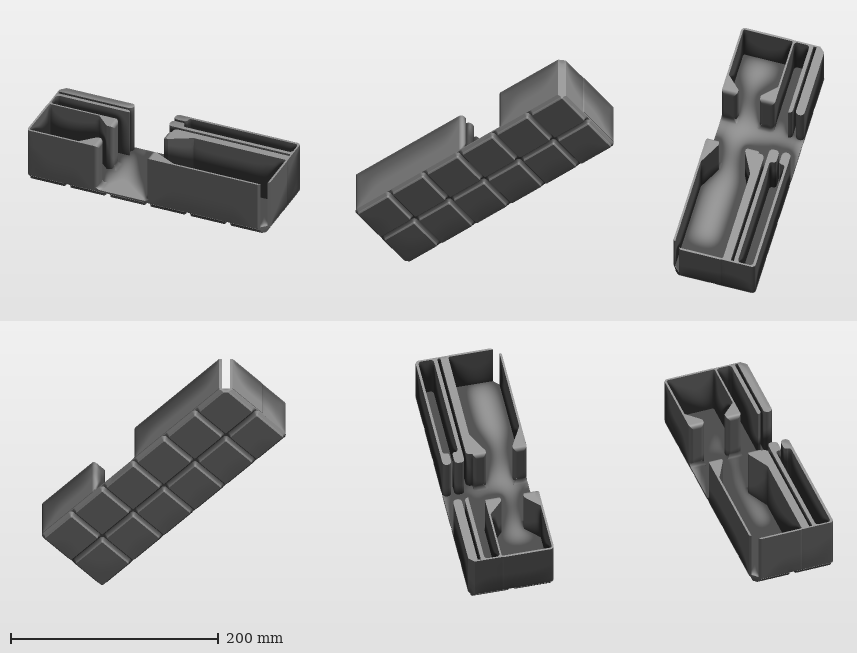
import cadquery as cq
import math

LENGTH = 252.0
COLUMNS = 6
FRONT_ROW, REAR_ROW = 0, 1
PITCH = LENGTH / COLUMNS
WIDTH = 2 * PITCH
HEIGHT = 56.2
FLOOR_Z = 6.8

LOWER_BEVEL = 0.8
UPRIGHT = 1.8
UPPER_BEVEL = 2.4
BEVEL_TAPER = -45
FOOT_HEIGHT = LOWER_BEVEL + UPRIGHT + UPPER_BEVEL
CORNER_RADIUS = 4.0

CLEARANCE = 0.38
PLATE_X = LENGTH / 2 - CLEARANCE
PLATE_Y = WIDTH / 2 - CLEARANCE

LEFT_END_X = -47.6
RIGHT_END_X = -4.5
LIP_RADIUS = 4.0
TIP_RADIUS = 4.0
COVE_SPREAD = 1.5
COVE_CORNER = 2.3

WALL = 2.0
INNER_X = LENGTH / 2 - WALL
BOX_BACK_Y = 11.0
POCKET_FRONT_Y = -WIDTH / 2 + WALL
POCKET_RIM_BACK_Y = 9.3
POCKET_FLOOR_BACK_Y = 8.5
POCKET_RADIUS = 1.5
LEFT_OPENING_FRONT_Y = -26.5
LEFT_OPENING_BACK_Y = -4.0
LEFT_TAPER_X = -72.0
LEFT_THROAT_X = -58.5
RIGHT_OPENING_FRONT_Y = -28.5
RIGHT_OPENING_BACK_Y = -2.0
RIGHT_TAPER_X = 27.2
RIGHT_THROAT_X = 5.0

SLOT_WIDTH = 3.0
SLOT_BACK_Y = 33.0
SLOT_FRONT_Y = SLOT_BACK_Y - SLOT_WIDTH
REAR_RADIUS = 3.3
LEDGE_RADIUS = 4.3
THIN_WALL_RADIUS = 3.5
LEFT_BAY_BACK_Y = 26.2
RIGHT_BAY_BACK_Y = 39.0
RIGHT_BAY_FRONT_Y = 24.0
RIGHT_BAY_X = 9.3
MOUTH_RADIUS = 2.8
RIGHT_SLOT_BACK_Y = 20.2
RIGHT_SLOT_FRONT_Y = RIGHT_SLOT_BACK_Y - SLOT_WIDTH

BACK_LEFT_CUT = 6.0
FRONT_RIGHT_CUT = 9.3


def block(x0, x1, y0, y1, z0, z1):
    """Axis-aligned box between two opposite corners."""
    return cq.Workplane("XY").box(x1 - x0, y1 - y0, z1 - z0, centered=False).translate((x0, y0, z0))


def wall_block(x0, x1, y0, y1):
    """Box that stands on the floor and reaches the rim."""
    return block(x0, x1, y0, y1, FLOOR_Z, HEIGHT)


def round_edges(body, radius, *places):
    """Round the upright edges that stand at the given (x, y) places."""
    reach = 0.03
    for x, y in places:
        corner = cq.selectors.BoxSelector((x - reach, y - reach, 0), (x + reach, y + reach, HEIGHT))
        body = body.edges("|Z").edges(corner).fillet(radius)
    return body


def corner_cut(x_side, y_side, leg):
    """Upright prism that cuts one corner of the grid outline at 45 degrees."""
    margin = 2.5
    x, y = x_side * (LENGTH / 2 + margin), y_side * (WIDTH / 2 + margin)
    full_leg = leg + 2 * margin
    outline = [(x, y), (x - x_side * full_leg, y), (x, y - y_side * full_leg)]
    return cq.Workplane("XY").polyline(outline).close().extrude(HEIGHT)


def foot(column, row):
    """One foot of the grid, widening upward in two bevels to the full pitch."""
    base_side = PITCH - 2 * (LOWER_BEVEL + UPPER_BEVEL)
    neck_side = PITCH - 2 * UPPER_BEVEL

    def stage(side, z, height, taper):
        radius = CORNER_RADIUS - (PITCH - side) / 2
        sketch = cq.Sketch().rect(side, side).vertices().fillet(radius)
        return cq.Workplane("XY").workplane(offset=z).placeSketch(sketch).extrude(height, taper=taper)

    body = stage(base_side, 0, LOWER_BEVEL, BEVEL_TAPER)
    body = body.union(stage(neck_side, LOWER_BEVEL, UPRIGHT, 0))
    body = body.union(stage(neck_side, LOWER_BEVEL + UPRIGHT, UPPER_BEVEL, BEVEL_TAPER))
    return body.translate(((column + 0.5) * PITCH - LENGTH / 2, (row + 0.5) * PITCH - WIDTH / 2, 0))


def plate():
    """Floor plate under all the compartments."""
    body = block(-PLATE_X, PLATE_X, -PLATE_Y, PLATE_Y, FOOT_HEIGHT, FLOOR_Z)
    return body.edges("|Z").fillet(CORNER_RADIUS - CLEARANCE)


def left_rear():
    """Rear left block: thick back strip, thin slot, thin wall and a bay open to the gap."""
    body = wall_block(-PLATE_X, LEFT_END_X, BOX_BACK_Y, PLATE_Y)
    body = body.cut(wall_block(-INNER_X, LEFT_END_X, SLOT_FRONT_Y, SLOT_BACK_Y))
    bay = wall_block(-INNER_X, LEFT_END_X, BOX_BACK_Y, LEFT_BAY_BACK_Y)
    bay = round_edges(bay, REAR_RADIUS, (-INNER_X, LEFT_BAY_BACK_Y), (-INNER_X, BOX_BACK_Y))
    body = body.cut(bay)
    body = round_edges(body, TIP_RADIUS, (LEFT_END_X, PLATE_Y), (LEFT_END_X, SLOT_BACK_Y))
    body = round_edges(body, THIN_WALL_RADIUS, (LEFT_END_X, SLOT_FRONT_Y))
    return body.union(wall_block(-PLATE_X, LEFT_TAPER_X, BOX_BACK_Y - WALL, BOX_BACK_Y))


def right_rear():
    """Rear right block: bay with a narrow mouth, slot, and the ledge behind the front compartment."""
    ledge_x = RIGHT_END_X + 2 * LIP_RADIUS
    body = wall_block(RIGHT_END_X, PLATE_X, RIGHT_SLOT_BACK_Y, PLATE_Y)
    body = body.union(wall_block(INNER_X, PLATE_X, RIGHT_SLOT_FRONT_Y, RIGHT_SLOT_BACK_Y))
    body = body.union(wall_block(ledge_x, PLATE_X, BOX_BACK_Y - WALL, RIGHT_SLOT_FRONT_Y))
    bay = wall_block(RIGHT_BAY_X, INNER_X, RIGHT_BAY_FRONT_Y, RIGHT_BAY_BACK_Y)
    bay = round_edges(bay, REAR_RADIUS, (INNER_X, RIGHT_BAY_BACK_Y), (INNER_X, RIGHT_BAY_FRONT_Y))
    bay = bay.union(wall_block(RIGHT_END_X, RIGHT_BAY_X, SLOT_FRONT_Y, SLOT_BACK_Y))
    mouth_edges = (RIGHT_BAY_BACK_Y, RIGHT_BAY_FRONT_Y, SLOT_BACK_Y, SLOT_FRONT_Y)
    bay = round_edges(bay, MOUTH_RADIUS, *[(RIGHT_BAY_X, y) for y in mouth_edges])
    body = body.cut(bay)
    tip_edges = (PLATE_Y, SLOT_BACK_Y, SLOT_FRONT_Y, RIGHT_SLOT_BACK_Y)
    body = round_edges(body, TIP_RADIUS, *[(RIGHT_END_X, y) for y in tip_edges])
    body = round_edges(body, LEDGE_RADIUS, (ledge_x, RIGHT_SLOT_FRONT_Y))
    return round_edges(body, CORNER_RADIUS - CLEARANCE, (PLATE_X, PLATE_Y))


def front_pocket(side, end_x, taper_x, throat_x, front_y, back_y):
    """Front compartment narrowing to an opening; its back wall leans in toward the floor."""
    wall_x = side * INNER_X

    def outline(z, wall_y):
        points = [
            (end_x, front_y),
            (throat_x, front_y),
            (taper_x, POCKET_FRONT_Y),
            (wall_x, POCKET_FRONT_Y),
            (wall_x, wall_y),
            (taper_x, wall_y),
            (throat_x, back_y),
            (end_x, back_y),
        ]
        return cq.Wire.makePolygon([cq.Vector(x, y, z) for x, y in points], close=True)

    outlines = [outline(FLOOR_Z, POCKET_FLOOR_BACK_Y), outline(HEIGHT, POCKET_RIM_BACK_Y)]
    pocket = cq.Workplane(cq.Solid.makeLoft(outlines, True))
    far_end = "<X" if side < 0 else ">X"
    return pocket.faces(far_end).edges("not #Z").fillet(POCKET_RADIUS)


def front_box(side, end_x, front_y, back_y, pocket):
    """Outer walls of a front compartment, with rounded lips at its opening."""
    lip_x = end_x + side * LIP_RADIUS
    x0, x1 = sorted((side * LENGTH / 2, lip_x))
    blank = wall_block(x0, x1, -WIDTH / 2, BOX_BACK_Y)
    body = blank.edges("|Z").fillet(CORNER_RADIUS).cut(pocket)
    body = round_edges(body, LIP_RADIUS, (lip_x, front_y), (lip_x, back_y))
    gap_side = ">X" if side < 0 else "<X"
    rim_rounding = blank.faces(gap_side).edges(">Z").fillet(LIP_RADIUS)
    return body.intersect(rim_rounding)


def lip_cove(side, end_x, outer_y, opening_y):
    """Hollow-curved flare at the foot of one lip, carried around its two rounded corners."""
    inward = math.copysign(1, opening_y - outer_y)
    core_x = end_x + 2 * side * LIP_RADIUS
    core_y = outer_y + inward * LIP_RADIUS
    foot_y = opening_y + inward * COVE_SPREAD
    x0, x1 = sorted((core_x, end_x))
    y0, y1 = sorted((core_y, foot_y))
    top_z = FLOOR_Z + LIP_RADIUS

    flare = block(x0, x1, y0, y1, FLOOR_Z, top_z)
    flare = flare.cut(cq.Workplane("XZ", origin=(end_x, y0, top_z)).circle(LIP_RADIUS).extrude(y0 - y1))
    flare = flare.cut(cq.Workplane("YZ", origin=(x0, foot_y, top_z)).circle(LIP_RADIUS).extrude(x1 - x0))
    corner = [(end_x, foot_y), (end_x + side * COVE_CORNER, foot_y), (end_x, foot_y - inward * COVE_CORNER)]
    flare = flare.cut(cq.Workplane("XY").polyline(corner).close().extrude(HEIGHT))

    turn = cq.Workplane("XY", origin=(core_x, core_y, FLOOR_Z)).circle(2 * LIP_RADIUS).extrude(LIP_RADIUS)
    hollow = cq.Solid.makeTorus(2 * LIP_RADIUS, LIP_RADIUS, cq.Vector(core_x, core_y, top_z))
    turn = turn.cut(cq.Workplane(hollow))
    turn = turn.intersect(block(x0, x1, *sorted((outer_y, core_y)), FLOOR_Z, top_z))
    return flare.union(turn)


def bin_body():
    """Plate, rear row of feet, all compartment walls, and the two corner cuts."""
    body = plate()
    for column in range(COLUMNS):
        body = body.union(foot(column, REAR_ROW))
    body = body.union(left_rear()).union(right_rear())
    compartments = (
        (-1, LEFT_END_X, LEFT_TAPER_X, LEFT_THROAT_X, LEFT_OPENING_FRONT_Y, LEFT_OPENING_BACK_Y),
        (1, RIGHT_END_X, RIGHT_TAPER_X, RIGHT_THROAT_X, RIGHT_OPENING_FRONT_Y, RIGHT_OPENING_BACK_Y),
    )
    for side, end_x, taper_x, throat_x, front_y, back_y in compartments:
        pocket = front_pocket(side, end_x, taper_x, throat_x, front_y, back_y)
        body = body.cut(pocket).union(front_box(side, end_x, front_y, back_y, pocket))
        body = body.union(lip_cove(side, end_x, -PLATE_Y, front_y))
        body = body.union(lip_cove(side, end_x, BOX_BACK_Y, back_y))
    body = body.cut(corner_cut(-1, 1, BACK_LEFT_CUT))
    return body.cut(corner_cut(1, -1, FRONT_RIGHT_CUT))


def front_foot(column):
    """Separate foot of the front row, trimmed where it meets the front right corner cut."""
    return foot(column, FRONT_ROW).cut(corner_cut(1, -1, FRONT_RIGHT_CUT))


storage_bin = bin_body()
front_feet = [front_foot(column) for column in range(COLUMNS)]

result = cq.Compound.makeCompound([storage_bin.val(), *[body.val() for body in front_feet]])